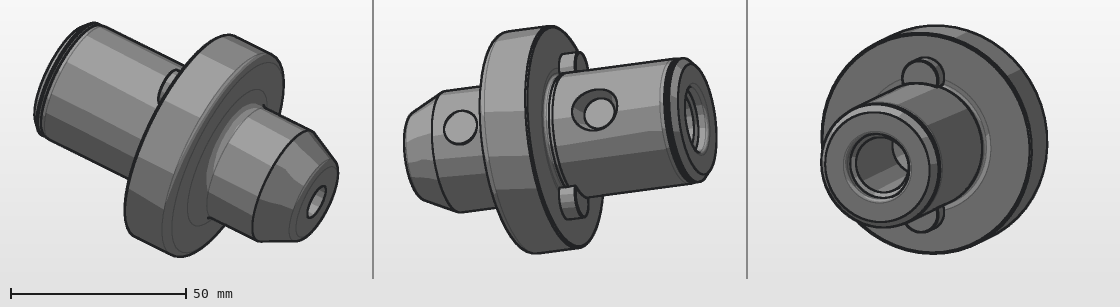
import cadquery as cq
import math

length = 85.0

shank_radius = 18.0
lead_radius = 15.9
rim_radius = 17.85
rim_start = rim_radius - lead_radius
rim_width = 0.5
groove_radius = 17.5
groove_end = 3.2
groove_wall_end = 3.5
shank_start = 4.8

flange_face = 40.0
flange_width = 15.0
flange_radius = 64.0 / 2
flange_chamfer = 0.5
flange_fillet = 2.0
flange_back = flange_face + flange_width

undercut_start = 37.4
undercut_floor_start = 38.7
undercut_radius = 17.6
undercut_fillet = 0.8
undercut_face_depth = 0.2
undercut_face_radius = 19.7
undercut_bottom = flange_face + undercut_face_depth

nose_radius = 17.5
neck_fillet = 4.0
nose_cone_start = 74.3
nose_end_radius = 12.4
nose_fillet = 2.0

mouth_radius = 9.4
mouth_fillet = 0.9
mouth_depth = 3.15
bore_radius = 8.0
bore_depth = 34.0
through_radius = 5.0
drill_half_angle = math.radians(60)

recess_x = 24.6
recess_radius = 6.9
recess_depth = 4.0
recess_taper = 30

screw_x = 65.5
screw_radius = 5.0
screw_tip = 5.95

pin_radius = 5.5
pin_offset = 19.5
pin_length = 5.0
pin_relief_radius = 18.2
pin_chamfer = 0.25

arc_inset = 1 - math.sqrt(0.5)


def radial_cylinder(x, radius, y_start, y_end):
    """Cylinder along +Y, centred at the given x."""
    return cq.Workplane("XZ", origin=(x, y_start, 0)).circle(radius).extrude(y_start - y_end)


def turned_body():
    """Outside of the holder, revolved about X."""
    flange_arc_mid = flange_fillet * arc_inset
    neck_arc_mid = neck_fillet * arc_inset
    undercut_floor_end = undercut_bottom - undercut_fillet
    undercut_arc_mid = undercut_fillet * arc_inset

    cone_angle = math.atan2(nose_radius - nose_end_radius, length - nose_cone_start)
    mid_angle = (math.pi / 2 - cone_angle) / 2
    tangent = nose_fillet * math.tan(mid_angle)
    round_start = (
        length - tangent * math.cos(cone_angle),
        nose_end_radius + tangent * math.sin(cone_angle),
    )
    round_centre = (length - nose_fillet, nose_end_radius - tangent)
    round_mid = (
        round_centre[0] + nose_fillet * math.cos(mid_angle),
        round_centre[1] + nose_fillet * math.sin(mid_angle),
    )

    profile = (
        cq.Workplane("XZ")
        .moveTo(0, 0)
        .lineTo(0, lead_radius)
        .lineTo(rim_start, rim_radius)
        .lineTo(rim_start + rim_width, rim_radius)
        .lineTo(groove_end, groove_radius)
        .lineTo(groove_wall_end, rim_radius)
        .lineTo(shank_start, shank_radius)
        .lineTo(undercut_start, shank_radius)
        .lineTo(undercut_floor_start, undercut_radius)
        .lineTo(undercut_floor_end, undercut_radius)
        .threePointArc(
            (undercut_bottom - undercut_arc_mid, undercut_radius + undercut_arc_mid),
            (undercut_bottom, undercut_radius + undercut_fillet),
        )
        .lineTo(flange_face, undercut_face_radius)
        .lineTo(flange_face, flange_radius - flange_chamfer)
        .lineTo(flange_face + flange_chamfer, flange_radius)
        .lineTo(flange_back - flange_fillet, flange_radius)
        .threePointArc(
            (flange_back - flange_arc_mid, flange_radius - flange_arc_mid),
            (flange_back, flange_radius - flange_fillet),
        )
        .lineTo(flange_back, nose_radius + neck_fillet)
        .threePointArc(
            (flange_back + neck_arc_mid, nose_radius + neck_arc_mid),
            (flange_back + neck_fillet, nose_radius),
        )
        .lineTo(nose_cone_start, nose_radius)
        .lineTo(*round_start)
        .threePointArc(round_mid, (length, round_centre[1]))
        .lineTo(length, 0)
        .close()
    )
    return profile.revolve(360, (0, 0, 0), (1, 0, 0))


def bore():
    """Stepped bore with a rounded mouth, running right through along X."""
    mouth_arc_mid = mouth_fillet * arc_inset
    mouth_cone_length = (mouth_radius - bore_radius) / math.tan(drill_half_angle)
    drill_cone_length = (bore_radius - through_radius) / math.tan(drill_half_angle)
    profile = (
        cq.Workplane("XZ")
        .moveTo(0, 0)
        .lineTo(0, mouth_radius + mouth_fillet)
        .threePointArc(
            (mouth_arc_mid, mouth_radius + mouth_arc_mid),
            (mouth_fillet, mouth_radius),
        )
        .lineTo(mouth_depth, mouth_radius)
        .lineTo(mouth_depth + mouth_cone_length, bore_radius)
        .lineTo(bore_depth, bore_radius)
        .lineTo(bore_depth + drill_cone_length, through_radius)
        .lineTo(length, through_radius)
        .lineTo(length, 0)
        .close()
    )
    return profile.revolve(360, (0, 0, 0), (1, 0, 0))


def clamping_recess():
    """Blind recess that narrows inwards from the crest of the shank."""
    mouth = cq.Workplane("XZ", origin=(recess_x, shank_radius, 0)).circle(recess_radius)
    return mouth.extrude(recess_depth, taper=recess_taper)


def make_holder():
    screw_hole = radial_cylinder(screw_x, screw_radius, screw_tip, nose_radius)
    return turned_body().cut(bore()).cut(clamping_recess()).cut(screw_hole)


def make_screw():
    """Set screw whose flat head is level with the crest of the nose."""
    return radial_cylinder(screw_x, screw_radius, screw_tip, nose_radius)


def make_pin(side):
    """Driving pin standing on the flange face, hollowed to clear the shank."""
    front = flange_face - pin_length
    pin = cq.Workplane("YZ", origin=(front, 0, 0)).center(0, side * pin_offset)
    pin = pin.circle(pin_radius).extrude(pin_length)
    relief = cq.Workplane("YZ", origin=(front, 0, 0)).circle(pin_relief_radius).extrude(pin_length)
    return pin.cut(relief).faces("<X").chamfer(pin_chamfer)


holder = make_holder()
screw = make_screw()
pins = [make_pin(side) for side in (1, -1)]

result = cq.Compound.makeCompound([holder.val(), screw.val(), *[pin.val() for pin in pins]])